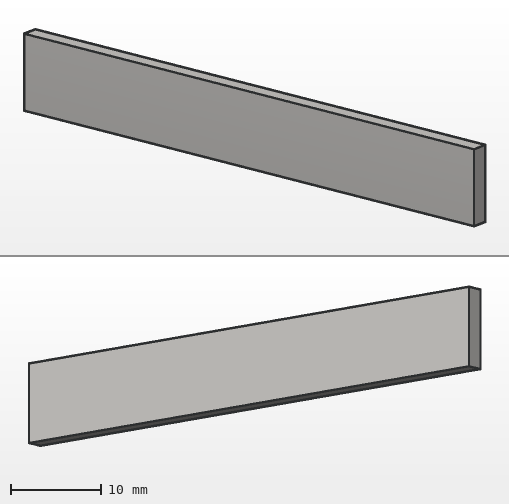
import cadquery as cq

length = 63.64
thickness = 2.0
height = 9.0
tilt = 12.187
crown = 0.17


def crowned_front():
    """Front face: four straight edges, swelling gently toward -Y in the middle."""
    outline = cq.Wire.makePolygon(
        [
            cq.Vector(0, 0, 0),
            cq.Vector(length, 0, 0),
            cq.Vector(length, 0, height),
            cq.Vector(0, 0, height),
        ],
        close=True,
    )
    peak = cq.Vector(length / 2, -crown, height / 2)
    return cq.Face.makeNSidedSurface(outline.Edges(), [peak])


def crowned_bar():
    """Rectangular bar with its flat front face replaced by the crowned one."""
    block = cq.Workplane("XY").box(length, thickness, height, centered=False)
    flat_front = block.faces("<Y").val()
    other_faces = [face for face in block.faces().vals() if not face.isSame(flat_front)]
    shell = cq.Shell.makeShell(other_faces + [crowned_front()])
    return cq.Workplane(cq.Solid.makeSolid(shell).fix())


result = crowned_bar().rotate((0, 0, 0), (0, 0, 1), tilt)